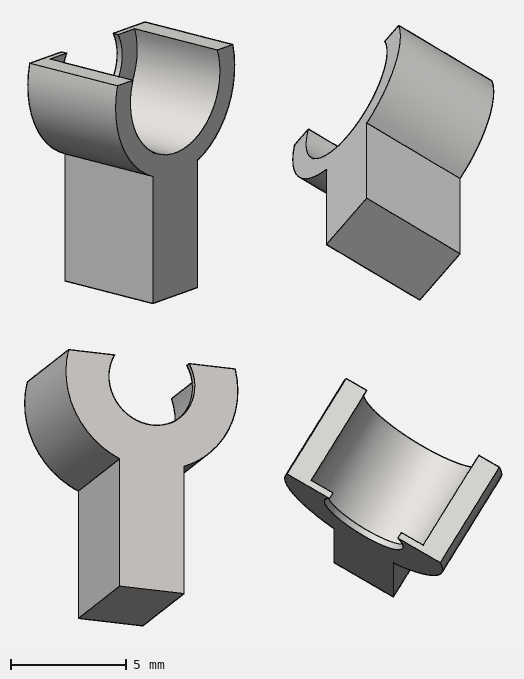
import cadquery as cq

length = 5.0
height = 10.5
top_above_axis = 1.0
outer_radius = 4.0
seat_radius = 3.0
lip_radius = 2.0
lip_thickness = 0.29
stem_width = 3.0

axis_height = height - top_above_axis


def cylinder_along_x(radius, start, end):
    """Cylinder about the cradle axis, running from X = start to X = end."""
    return (
        cq.Workplane("YZ", origin=(start, 0, axis_height))
        .circle(radius)
        .extrude(end - start)
    )


stem = cq.Workplane("XY").box(length, stem_width, axis_height, centered=(False, True, False))

envelope = cq.Workplane("XY").box(length, 2 * outer_radius, height, centered=(False, True, False))
body = cylinder_along_x(outer_radius, 0, length).union(stem).intersect(envelope)

seat = cylinder_along_x(seat_radius, lip_thickness, length)
lip_opening = cylinder_along_x(lip_radius, 0, length)
result = body.cut(seat).cut(lip_opening)